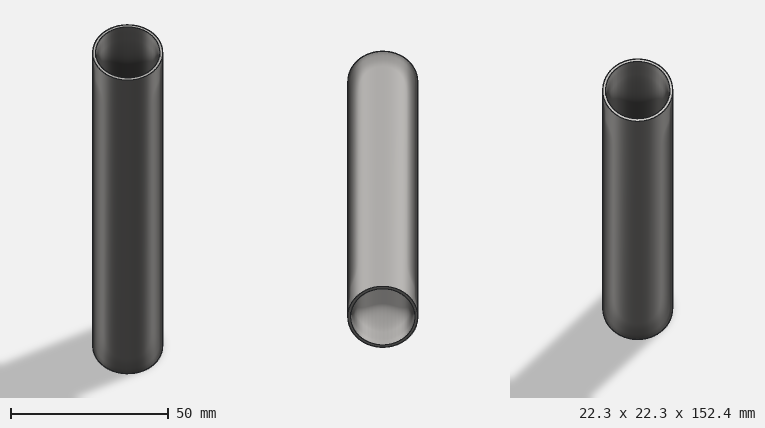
import cadquery as cq

length = 152.4
outer_diameter = 22.3
wall_thickness = 0.9
inner_diameter = outer_diameter - 2 * wall_thickness

result = (
    cq.Workplane("XY")
    .circle(outer_diameter / 2)
    .circle(inner_diameter / 2)
    .extrude(length)
)